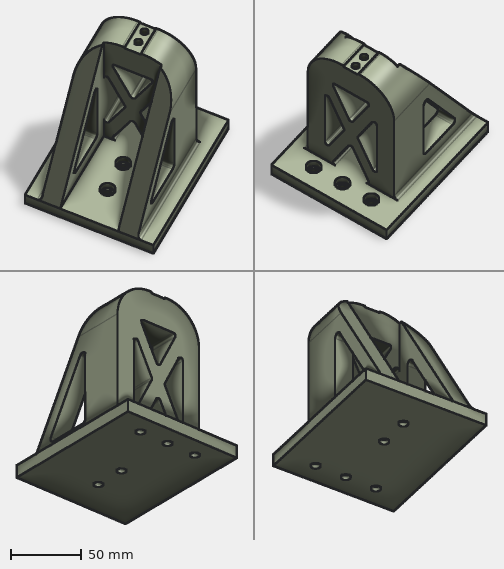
import cadquery as cq
import math

BASE_WIDTH = 101.6
BASE_LENGTH = 122.7
BASE_THICKNESS = 10.2

TOTAL_HEIGHT = 127.0
UPRIGHT_WIDTH = 76.2
SIDE_WALL = 15.2
TOP_RADIUS = 30.0
BACK_LEDGE = 26.5
BACK_WALL = 25.0
FOOT_FILLET = 3.0
SLOPE_TOP_Y = 71.0

slope_run_per_rise = SLOPE_TOP_Y / (TOTAL_HEIGHT - BASE_THICKNESS)
half_width = UPRIGHT_WIDTH / 2
channel_half = half_width - SIDE_WALL
wall_back_y = BASE_LENGTH - BACK_LEDGE
wall_front_y = wall_back_y - BACK_WALL

BRACE_TOP_Z = 101.0
BRACE_WIDTH = 10.2
BRACE_CORNER_RADIUS = 2.0

SIDE_WINDOW_BACK = 62.1
SIDE_WINDOW_BOTTOM_Z = 23.4
SIDE_STRUT_WIDTH = 10.3
SIDE_WINDOW_RADIUS = 3.0

GROOVE_WIDTH = 12.7
GROOVE_DEPTH = 1.0
GROOVE_FILLET = 0.5
TOP_HOLE_DIAMETER = 5.6
TOP_HOLE_DEPTH = 15.2
TOP_HOLE_OFFSET = 5.7
TOP_HOLE_SPACING = 10.2

BOLT_DIAMETER = 7.1
BORE_DIAMETER = 11.2
BORE_DEPTH = 6.1
BOLT_PITCH = 25.4
BOLT_BACK_OFFSET = 16.4


def slope_y(z):
    """Position of the sloping front face at height z."""
    return (z - BASE_THICKNESS) * slope_run_per_rise


def make_base():
    return cq.Workplane("XY").box(
        BASE_WIDTH, BASE_LENGTH, BASE_THICKNESS, centered=(True, False, False)
    )


def make_upright():
    """Arched block with concave foot fillets, hollowed and cut to the slope."""
    foot_half = half_width + FOOT_FILLET
    foot_z = BASE_THICKNESS + FOOT_FILLET
    shoulder_z = TOTAL_HEIGHT - TOP_RADIUS
    flat_half = half_width - TOP_RADIUS
    block = (
        cq.Workplane("XZ", origin=(0, wall_back_y, 0))
        .moveTo(-foot_half, BASE_THICKNESS)
        .radiusArc((-half_width, foot_z), -FOOT_FILLET)
        .lineTo(-half_width, shoulder_z)
        .radiusArc((-flat_half, TOTAL_HEIGHT), TOP_RADIUS)
        .lineTo(flat_half, TOTAL_HEIGHT)
        .radiusArc((half_width, shoulder_z), TOP_RADIUS)
        .lineTo(half_width, foot_z)
        .radiusArc((foot_half, BASE_THICKNESS), -FOOT_FILLET)
        .close()
        .extrude(wall_back_y)
    )
    side_profile = (
        cq.Workplane("YZ")
        .polyline([
            (wall_back_y, BASE_THICKNESS),
            (wall_back_y, TOTAL_HEIGHT),
            (SLOPE_TOP_Y, TOTAL_HEIGHT),
            (0, BASE_THICKNESS),
        ])
        .close()
        .extrude(foot_half, both=True)
    )
    channel = cq.Workplane("XY", origin=(0, 0, BASE_THICKNESS)).box(
        2 * channel_half, wall_front_y, TOTAL_HEIGHT, centered=(True, False, False)
    )
    return block.intersect(side_profile).cut(channel)


def back_window(corners):
    """Rounded triangular prism through the back wall."""
    return (
        cq.Workplane("XZ", origin=(0, wall_back_y, 0))
        .polyline(corners)
        .close()
        .extrude(BACK_WALL)
        .edges("|Y")
        .fillet(BRACE_CORNER_RADIUS)
    )


def make_back_windows():
    """Four triangles left between two crossing braces."""
    half_height = (BRACE_TOP_Z - BASE_THICKNESS) / 2
    center_z = BASE_THICKNESS + half_height
    diagonal = math.hypot(channel_half, half_height)
    brace_half_x = BRACE_WIDTH / 2 * diagonal / half_height
    brace_half_z = BRACE_WIDTH / 2 * diagonal / channel_half
    corner_x = channel_half - brace_half_x
    corner_z = half_height - brace_half_z
    windows = cq.Workplane("XY")
    for side in (-1, 1):
        windows = windows.add(back_window([
            (-corner_x, center_z + side * half_height),
            (corner_x, center_z + side * half_height),
            (0, center_z + side * brace_half_z),
        ]))
        windows = windows.add(back_window([
            (side * channel_half, center_z - corner_z),
            (side * channel_half, center_z + corner_z),
            (side * brace_half_x, center_z),
        ]))
    return windows.combine()


def make_side_window():
    """Triangle whose long edge runs parallel to the sloping front face."""
    strut_y = SIDE_STRUT_WIDTH * math.hypot(1, slope_run_per_rise)
    back_y = BASE_LENGTH - SIDE_WINDOW_BACK
    front_y = slope_y(SIDE_WINDOW_BOTTOM_Z) + strut_y
    peak_z = SIDE_WINDOW_BOTTOM_Z + (back_y - front_y) / slope_run_per_rise
    return (
        cq.Workplane("YZ")
        .polyline([
            (back_y, SIDE_WINDOW_BOTTOM_Z),
            (front_y, SIDE_WINDOW_BOTTOM_Z),
            (back_y, peak_z),
        ])
        .close()
        .extrude(half_width, both=True)
        .edges("|X")
        .fillet(SIDE_WINDOW_RADIUS)
    )


def make_top_cuts():
    """Shallow round-cornered groove along the top with two blind holes in its floor."""
    floor_z = TOTAL_HEIGHT - GROOVE_DEPTH
    groove = cq.Workplane("XY", origin=(0, wall_front_y, floor_z)).box(
        GROOVE_WIDTH, BACK_WALL, GROOVE_DEPTH, centered=(True, False, False)
    ).edges("|Y and <Z").fillet(GROOVE_FILLET)
    first_y = wall_back_y - TOP_HOLE_OFFSET
    holes = (
        cq.Workplane("XY", origin=(0, 0, floor_z))
        .pushPoints([(0, first_y), (0, first_y - TOP_HOLE_SPACING)])
        .circle(TOP_HOLE_DIAMETER / 2)
        .extrude(-TOP_HOLE_DEPTH)
    )
    return groove.union(holes)


def drill_mounting_holes(body):
    """Three holes behind the upright and two between its side walls."""
    back_row_y = BASE_LENGTH - BOLT_BACK_OFFSET
    points = [(column * BOLT_PITCH, back_row_y) for column in (-1, 0, 1)]
    points += [(0, back_row_y - row * BOLT_PITCH) for row in (2, 3)]
    return (
        cq.Workplane("XY", origin=(0, 0, BASE_THICKNESS))
        .add(body)
        .pushPoints(points)
        .cboreHole(BOLT_DIAMETER, BORE_DIAMETER, BORE_DEPTH, BASE_THICKNESS)
    )


body = make_base().union(make_upright())
body = body.cut(make_back_windows()).cut(make_side_window()).cut(make_top_cuts())
result = drill_mounting_holes(body)